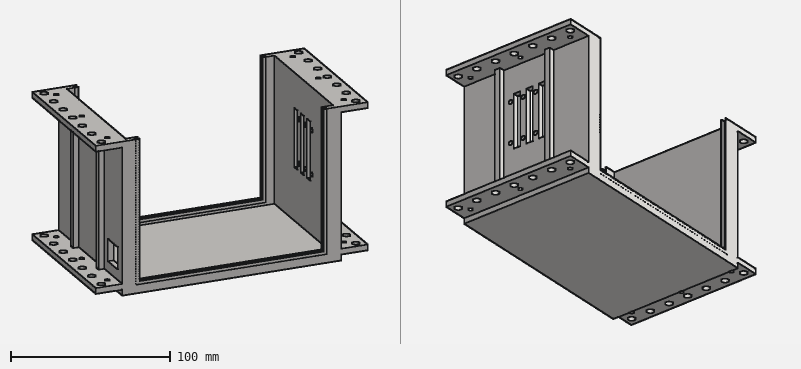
import cadquery as cq

width = 100.0
length = 186.0
height = 104.0

base_height = 8.0
plate = base_height / 2
flange_reach = 18.0
body_length = length - 2 * flange_reach
cavity_width = width - 2 * plate
cavity_length = body_length - 2 * plate

frame_face = 12.0
opening_length = body_length - 2 * frame_face
groove_setback = 0.7
groove_width = plate - 2 * groove_setback
groove_depth = 2.5

bolt_diameter = 5.0
bolt_count = 7
bolt_edge = 5.0
bolt_row_edge = 6.0
bolt_pitch = (width - 2 * bolt_edge) / (bolt_count - 1)
pin_diameter = 3.0
pin_count = 3
pin_pitch = 40.0
pin_row_edge = 12.0

rib_count = 2
rib_pitch = 40.0

window_size = 15.0
window_base = 15.0
window_edge = 7.5

slot_width = 5.0
slot_height = 40.0
slot_base = 40.0
slot_pitch = 2 * slot_width
slot_count = 3
screw_diameter = 3.0
screw_count = 2
screw_pitch = 30.0


def block(x_min, x_max, y_min, y_max, z_min, z_max):
    """Box between two opposite corners."""
    size = (x_max - x_min, y_max - y_min, z_max - z_min)
    return cq.Workplane("XY").box(*size, centered=False).translate((x_min, y_min, z_min))


def centred_block(size_x, size_y, z_min, z_max):
    """Box centred on the Z axis."""
    return block(-size_x / 2, size_x / 2, -size_y / 2, size_y / 2, z_min, z_max)


def row(count, pitch):
    """Evenly spaced positions centred on zero."""
    return [(i - (count - 1) / 2) * pitch for i in range(count)]


def flange_holes(diameter, count, pitch, row_edge):
    """Vertical holes through both flanges, one row along each outer edge."""
    row_y = length / 2 - row_edge
    points = [(x, y) for x in row(count, pitch) for y in (-row_y, row_y)]
    return cq.Workplane("XY").pushPoints(points).circle(diameter / 2).extrude(height)


body = centred_block(width, body_length, 0, height)
for flange_base in (plate, height - plate):
    body = body.union(centred_block(width, length, flange_base, flange_base + plate))

rib_length = body_length + 2 * plate
for rib_x in row(rib_count, rib_pitch):
    x_min = rib_x - plate / 2
    rib = block(x_min, x_min + plate, -rib_length / 2, rib_length / 2, base_height, height - plate)
    body = body.union(rib)

body = body.cut(centred_block(cavity_width, cavity_length, plate, height))
body = body.cut(centred_block(width, opening_length, base_height, height))

groove_length = opening_length + 2 * groove_depth
groove_x = width / 2 - groove_setback
for x_min in (-groove_x, groove_x - groove_width):
    groove = block(x_min, x_min + groove_width, -groove_length / 2, groove_length / 2,
                   base_height - groove_depth, height)
    body = body.cut(groove)

body = body.cut(flange_holes(bolt_diameter, bolt_count, bolt_pitch, bolt_row_edge))
body = body.cut(flange_holes(pin_diameter, pin_count, pin_pitch, pin_row_edge))

window_end = width / 2 - window_edge
body = body.cut(block(window_end - window_size, window_end, -body_length / 2, -cavity_length / 2,
                      window_base, window_base + window_size))

slot_middle = slot_base + slot_height / 2
for slot_end in row(slot_count, slot_pitch):
    body = body.cut(block(slot_end - slot_width, slot_end, cavity_length / 2, body_length / 2,
                          slot_base, slot_base + slot_height))
    screw_x = slot_end + slot_width / 2
    screws = (
        cq.Workplane("XZ", origin=(screw_x, body_length / 2, slot_middle))
        .pushPoints([(0, z) for z in row(screw_count, screw_pitch)])
        .circle(screw_diameter / 2)
        .extrude(plate)
    )
    body = body.cut(screws)

result = body